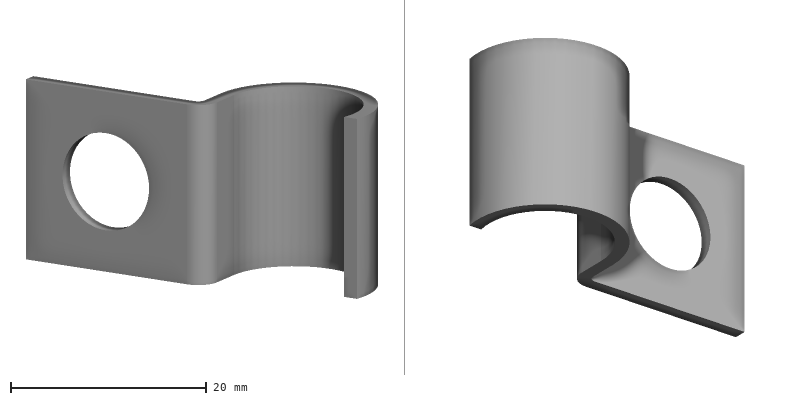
import cadquery as cq
import math

length = 37.25
width = 19.05
height = 14.23
thickness = 1.5

bow_outer_radius = 8.65
bow_inner_radius = bow_outer_radius - thickness
axis_x = length - bow_outer_radius
axis_y = height - bow_outer_radius
lip_y = 4.0
lip_drop = axis_y - lip_y
lip_inner_x = axis_x + math.sqrt(bow_inner_radius**2 - lip_drop**2)
lip_outer_x = axis_x + math.sqrt(bow_outer_radius**2 - lip_drop**2)

bend_inner_radius = 0.75
bend_outer_radius = bend_inner_radius + thickness
leg_outer_x = axis_x - bow_outer_radius
leg_inner_x = axis_x - bow_inner_radius
bend_start_x = leg_inner_x - bend_outer_radius
bend_end_y = bend_outer_radius

hole_diameter = 10.3
hole_x = width / 2


def make_strip():
    """Bent strip: flat tab, bend, straight leg and bow ending in a flat lip."""
    return (
        cq.Workplane("XY")
        .lineTo(bend_start_x, 0)
        .radiusArc((leg_inner_x, bend_end_y), -bend_outer_radius)
        .lineTo(leg_inner_x, axis_y)
        .threePointArc((axis_x, axis_y + bow_inner_radius), (lip_inner_x, lip_y))
        .lineTo(lip_outer_x, lip_y)
        .threePointArc((axis_x, height), (leg_outer_x, axis_y))
        .lineTo(leg_outer_x, bend_end_y)
        .radiusArc((bend_start_x, thickness), bend_inner_radius)
        .lineTo(0, thickness)
        .close()
        .extrude(width)
    )


def make_screw_hole():
    """Cutter passing through the thickness of the flat tab."""
    return (
        cq.Workplane("XZ", origin=(hole_x, 0, width / 2))
        .circle(hole_diameter / 2)
        .extrude(-thickness)
    )


result = make_strip().cut(make_screw_hole())